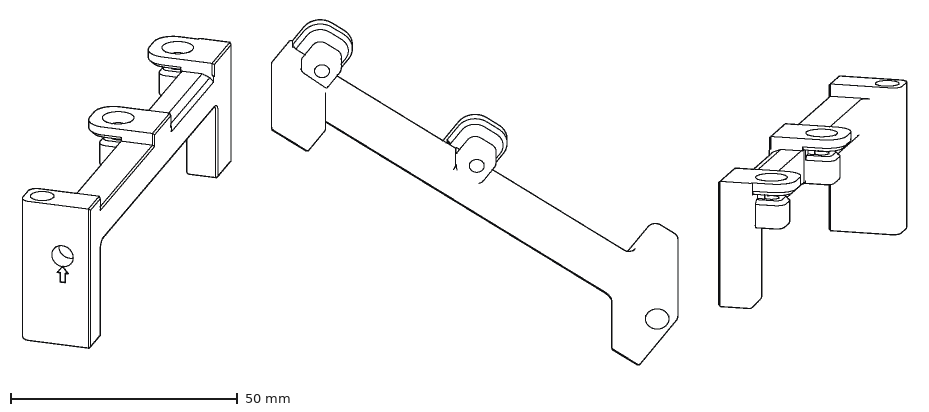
import cadquery as cq
width = 16.5
length = 99.75
height = 33.5
outer_bevel = 0.4

rail_top = -2.8
rail_bottom = -11.0
rail_x = 8.8
recess_depth = 0.3
rail_edge_radius = 0.8

post_x = 0.2
post_depth = 7.7
post_corner_radius = 2.0
post_rail_radius = 1.7
foot_radius = 0.6
post_hole_diameter = 5.2
post_hole_x = 4.1
side_hole_diameter = 5.0
side_hole_depth = 5.0
side_hole_x = 10.1
side_hole_z = -12.1

arrow_height = 3.8
arrow_head_height = 1.6
arrow_head_half_width = 1.3
arrow_shaft_half_width = 0.6
arrow_depth = 0.3

leg_bottom = -28.6
leg_depth = 10.1
leg_strip = 2.7
leg_inner_radius = 1.6
leg_outer_radius = 0.6

tab_size = 12.2
tab_corner_radius = 4.5
tab_bevel = 0.9
tab_centers = (51.3, 93.2)
screw_x = 6.1
screw_diameter = 3.3
screw_head_diameter = 7.0
boss_size = 7.3
boss_x = 2.4
boss_top = -4.6
boss_corner_radius = 2.1
boss_bevel = 0.9
web_width = 3.3
web_x = 7.3

relief_start = 2.7
relief_break = 0.9
relief_break_drop = 0.7
relief_drop = 1.6

embed = 1.0
tool_overlap = 1.0

mid_center, end_center = tab_centers
recess_start = mid_center + boss_size / 2
recess_end = end_center - boss_size / 2
recess_x = rail_x + recess_depth


def box(x0, x1, y0, y1, z0, z1):
    return cq.Workplane("XY").box(x1 - x0, y1 - y0, z1 - z0, centered=False).translate((x0, y0, z0))


def make_rail():
    """L-shaped rail and leg at the recess depth, with the thicker stretches added."""
    inner_leg_y = length - leg_depth
    profile = (
        cq.Workplane("YZ", origin=(recess_x, 0, 0))
        .polyline([
            (post_depth / 2, rail_top),
            (length, rail_top),
            (length, leg_bottom),
            (inner_leg_y, leg_bottom),
            (inner_leg_y, rail_bottom),
            (post_depth / 2, rail_bottom),
        ])
        .close()
        .extrude(width - recess_x)
    )
    corner = cq.selectors.NearestToPointSelector((width / 2, inner_leg_y, rail_bottom))
    profile = profile.edges("|X").edges(corner).fillet(leg_inner_radius)
    rail_edge = cq.selectors.NearestToPointSelector((recess_x, length / 2, rail_bottom))
    rail = profile.edges(rail_edge).fillet(rail_edge_radius)

    strip_y = length - leg_strip
    slope_start_y = inner_leg_y + rail_edge_radius
    leg_face = (
        cq.Workplane("XY", origin=(0, 0, leg_bottom))
        .polyline([
            (recess_x, slope_start_y),
            (rail_x, strip_y),
            (rail_x, length),
            (width, length),
            (width, strip_y),
            (recess_x + embed, strip_y),
            (recess_x + embed, slope_start_y),
        ])
        .close()
        .extrude(-leg_bottom)
    )

    shoulder = box(rail_x, width, recess_end, strip_y, rail_bottom + rail_edge_radius, rail_top)
    rail = rail.union(leg_face).union(shoulder)
    leg_corner = cq.selectors.NearestToPointSelector((rail_x, length, leg_bottom / 2))
    rail = rail.edges("|Z").edges(leg_corner).fillet(leg_outer_radius)
    return rail.faces("<Z").edges("not >X").fillet(foot_radius)


def make_post():
    """End post with the thick front stretch of the rail; one blend runs around their inside corner."""
    post = box(post_x, width, 0, post_depth, -height, 0)
    post = post.edges("|Z and <X").fillet(post_corner_radius)
    post = post.faces("<Z").edges("not >X").fillet(foot_radius)
    rail = box(rail_x, width, post_depth / 2, recess_start, rail_bottom, rail_top)
    rail = rail.edges("<X and <Z").fillet(rail_edge_radius)
    post = post.union(rail)
    inside = cq.selectors.NearestToPointSelector((rail_x, post_depth, (rail_top + rail_bottom) / 2))
    return post.edges("|Z").edges(inside).fillet(post_rail_radius)


def make_tab(center_y):
    """Rounded screw tab, the boss under it and the web between them."""
    half_tab = tab_size / 2
    half_boss = boss_size / 2
    base = box(rail_x, width, center_y - half_tab, center_y + half_tab, rail_top, 0)
    overhang = box(0, rail_x, center_y - half_tab, center_y + half_tab, rail_top, 0)
    overhang = overhang.edges("|Z and <X").fillet(tab_corner_radius)
    overhang = overhang.faces("<Z").edges("not >X").chamfer(tab_bevel)

    boss = box(boss_x, rail_x + embed, center_y - half_boss, center_y + half_boss, rail_bottom, boss_top)
    boss = boss.edges("|Z and <X").fillet(boss_corner_radius)
    boss = boss.faces(">Z").edges("not >X").chamfer(boss_bevel)
    boss = boss.faces("<Z").edges("not >X").fillet(rail_edge_radius)

    half_web = web_width / 2
    web = box(web_x, rail_x + embed, center_y - half_web, center_y + half_web, boss_top - embed, rail_top)
    return base.union(overhang).union(boss).union(web)


def make_screw_hole(center_y):
    """Through hole with a 45 degree countersink at the top."""
    head_radius = screw_head_diameter / 2
    hole_radius = screw_diameter / 2
    hole = cq.Workplane("XY").circle(hole_radius).extrude(rail_bottom - tool_overlap)
    sink = cq.Solid.makeCone(hole_radius, head_radius, head_radius - hole_radius)
    sink = cq.Workplane(sink).translate((0, 0, hole_radius - head_radius))
    return hole.union(sink).translate((screw_x, center_y, 0))


def make_relief():
    """Two-slope cutter along the top +X edge of the rail between the tabs."""
    start_y = mid_center + tab_size / 2
    end_y = end_center - tab_size / 2
    return (
        cq.Workplane("XZ", origin=(0, end_y, 0))
        .polyline([
            (width - relief_start, rail_top),
            (width - relief_break, rail_top - relief_break_drop),
            (width, rail_top - relief_drop),
            (width + tool_overlap, rail_top - relief_drop),
            (width + tool_overlap, rail_top),
        ])
        .close()
        .extrude(end_y - start_y)
    )


def make_arrow():
    """Upward arrow whose tip touches the lower edge of the side hole."""
    tip = side_hole_z - side_hole_diameter / 2
    head_base = tip - arrow_head_height
    return (
        cq.Workplane("XZ")
        .polyline([
            (side_hole_x, tip),
            (side_hole_x + arrow_head_half_width, head_base),
            (side_hole_x + arrow_shaft_half_width, head_base),
            (side_hole_x + arrow_shaft_half_width, tip - arrow_height),
            (side_hole_x - arrow_shaft_half_width, tip - arrow_height),
            (side_hole_x - arrow_shaft_half_width, head_base),
            (side_hole_x - arrow_head_half_width, head_base),
        ])
        .close()
        .extrude(-arrow_depth)
    )


body = make_post().union(make_rail())
for center in tab_centers:
    body = body.union(make_tab(center))

body = body.faces(">X").chamfer(outer_bevel)
for center in tab_centers:
    body = body.cut(make_screw_hole(center))
body = body.cut(make_relief())

post_hole = cq.Workplane("XY").center(post_hole_x, post_depth / 2).circle(post_hole_diameter / 2).extrude(-height)
side_hole = (
    cq.Workplane("XZ")
    .center(side_hole_x, side_hole_z)
    .circle(side_hole_diameter / 2)
    .extrude(-side_hole_depth)
)
result = body.cut(post_hole).cut(side_hole).cut(make_arrow())